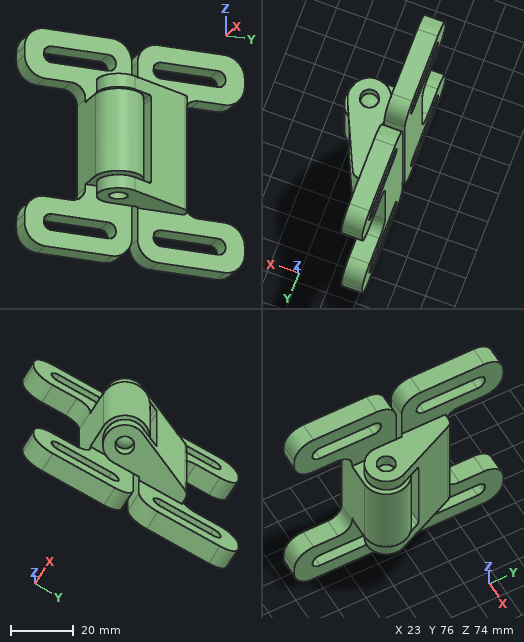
import cadquery as cq
import math

overall_depth = 23.0
leaf_height = 74.0
leaf_width = 37.0
leaf_gap = 2.0
plate_thickness = 7.0
web_width = 16.0
arm_height = 17.0
corner_radius = 7.0
web_fillet = 5.0

slot_length = 24.9
slot_width = 5.5
slot_setback = 17.9

barrel_half_height = 14.0
axial_clearance = 1.0
lug_thickness = 4.5
lug_radius = 7.0
tip_radius = 3.0
tip_flat = 2.0
pocket_fillet = 1.0

ball_radius = 4.0
lug_hole_diameter = 6.1

inner_edge = leaf_gap / 2
outer_edge = inner_edge + leaf_width
web_edge = inner_edge + web_width
barrel_radius = web_width / 2
pivot_x = overall_depth - barrel_radius
pivot_y = -(inner_edge + barrel_radius)
lug_face_x = pivot_x - lug_radius
root_fillet = lug_face_x - plate_thickness
pocket_half_height = barrel_half_height + axial_clearance
bracket_half_height = pocket_half_height + lug_thickness
lug_hole_radius = lug_hole_diameter / 2
ball_height = pocket_half_height - math.sqrt(ball_radius**2 - lug_hole_radius**2)


def block(x_range, y_range, half_height):
    """Box between two limits along X and Y, symmetric about mid-height."""
    x_low, x_high = x_range
    y_low, y_high = y_range
    box = cq.Workplane().box(x_high - x_low, y_high - y_low, 2 * half_height)
    return box.translate(((x_low + x_high) / 2, (y_low + y_high) / 2, 0))


def pivot_cylinder(radius, half_height):
    """Cylinder on the hinge axis, symmetric about mid-height."""
    return cq.Workplane(origin=(pivot_x, pivot_y, 0)).circle(radius).extrude(half_height, both=True)


def point_on_arc(centre, radius, angle):
    """Point on a circle in the XY plane, with the angle in radians from +X."""
    return (centre[0] + radius * math.cos(angle), centre[1] + radius * math.sin(angle))


def make_plate():
    """C-shaped plate on the +Y side, open towards +Y, with a slot in each arm."""
    notch = block((0, plate_thickness), (web_edge, outer_edge), leaf_height / 2 - arm_height)
    notch = notch.edges("|X and <Y").fillet(web_fillet)
    plate = block((0, plate_thickness), (inner_edge, outer_edge), leaf_height / 2)
    plate = plate.cut(notch).edges("|X").edges("<Y or >Y").fillet(corner_radius)

    slot_y = inner_edge + slot_setback
    slot_z = (leaf_height - arm_height) / 2
    slots = cq.Workplane("YZ").pushPoints([(slot_y, slot_z), (slot_y, -slot_z)])
    slots = slots.slot2D(slot_length, slot_width).extrude(plate_thickness)
    return plate.cut(slots)


def make_bracket():
    """Tapered bracket from the web edge to the hinge axis, pocketed to leave a lug at each end."""
    pivot = (pivot_x, pivot_y)
    tip = (plate_thickness + tip_flat, web_edge - tip_radius)

    reach_x = pivot[0] - tip[0]
    reach_y = tip[1] - pivot[1]
    spread = math.asin((lug_radius - tip_radius) / math.hypot(reach_x, reach_y))
    flank_angle = math.atan2(reach_x, reach_y) + spread
    tip_mid_angle = (flank_angle + math.pi / 2) / 2

    bracket = (
        cq.Workplane("XY")
        .moveTo(plate_thickness, web_edge)
        .lineTo(tip[0], web_edge)
        .threePointArc(
            point_on_arc(tip, tip_radius, tip_mid_angle),
            point_on_arc(tip, tip_radius, flank_angle),
        )
        .lineTo(*point_on_arc(pivot, lug_radius, flank_angle))
        .threePointArc((pivot_x, pivot_y - lug_radius), (lug_face_x, pivot_y))
        .lineTo(lug_face_x, inner_edge - root_fillet)
        .radiusArc((plate_thickness, inner_edge), -root_fillet)
        .close()
        .extrude(bracket_half_height, both=True)
    )

    pocket = block((plate_thickness, overall_depth), (-web_edge, inner_edge), pocket_half_height)
    pocket = pocket.edges("|X and >Y").fillet(pocket_fillet)
    pivot_hole = pivot_cylinder(lug_hole_radius, bracket_half_height)
    return bracket.cut(pocket).cut(pivot_hole)


def make_ball(side):
    """Ball at the upper (side = 1) or lower (side = -1) end of the barrel."""
    return cq.Workplane().sphere(ball_radius).translate((pivot_x, pivot_y, side * ball_height))


def make_barrel_leaf(seats):
    """Leaf on the -Y side with the barrel that fits between the lugs and seats the balls."""
    leaf = make_plate().mirror("XZ")
    root = block((plate_thickness, pivot_x), (-web_edge, -inner_edge), barrel_half_height)
    leaf = leaf.union(root).union(pivot_cylinder(barrel_radius, barrel_half_height))
    for seat in seats:
        leaf = leaf.cut(seat)
    return leaf


def make_lug_leaf():
    """Leaf on the +Y side with one lug above the barrel and one below it."""
    return make_plate().union(make_bracket())


balls = [make_ball(side) for side in (1, -1)]
barrel_leaf = make_barrel_leaf(balls)
lug_leaf = make_lug_leaf()

result = cq.Compound.makeCompound([barrel_leaf.val(), lug_leaf.val(), *[ball.val() for ball in balls]])